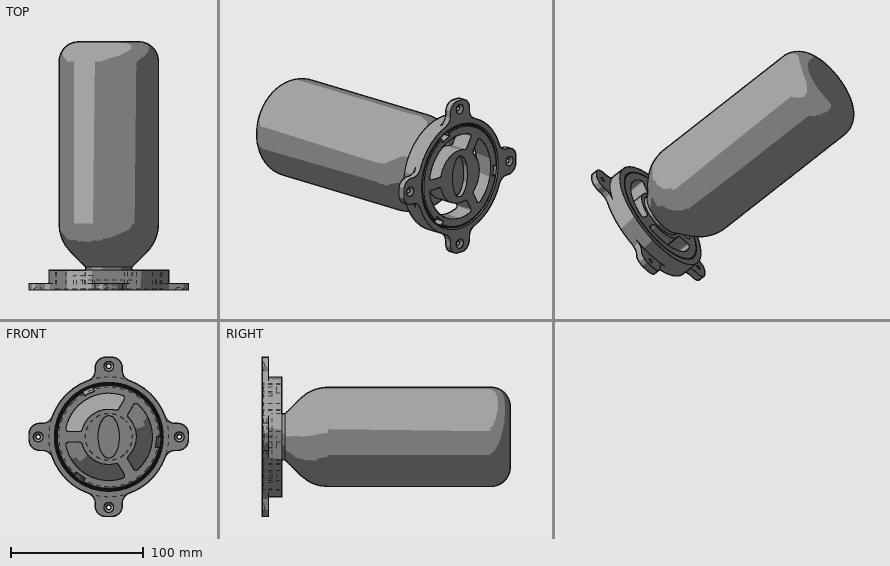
import cadquery as cq
import math

TOTAL_LENGTH = 187.0

RING_DIAMETER = 90.3
RING_BORE = 80.2
RING_DEPTH = 15.0
BORE_CHAMFER = 1.0
EAR_COUNT = 4
EAR_REACH = 60.0
EAR_WIDTH = 20.5
EAR_THICKNESS = 5.0
EAR_CORNER_RADIUS = 8.0
EAR_ROOT_RADIUS = 8.0
SCREW_CIRCLE_RADIUS = 53.1
SCREW_HOLE_DIAMETER = 3.4
COUNTERSINK_DIAMETER = 7.5
COUNTERSINK_ANGLE = 90.0

CAP_DIAMETER = 79.0
CAP_DEPTH = 15.0
CAP_CHAMFER = 0.7
HUB_RADIUS = 20.8
SLOT_OUTER_RADIUS = 33.0
SLOT_COUNT = 3
SPOKE_WIDTH = 8.0
FIRST_SPOKE_ANGLE = 60.0
SLOT_CORNER_RADIUS = 2.0
NOTCH_WIDTH = 8.2
FIRST_NOTCH_ANGLE = -6.0
NOTCH_FLOOR_RADIUS = 35.9
NOTCH_FLOOR_LENGTH = 7.5
RECESS_WIDTH = 16.0
RECESS_HEIGHT = 32.0
RECESS_DEPTH = 4.0
SOCKET_DIAMETER = 35.5
SOCKET_FLOOR = 7.5

BOTTLE_DIAMETER = 75.0
BOTTLE_BASE_RADIUS = 15.0
NECK_DIAMETER = 35.0
SHOULDER_START = 50.0
SHOULDER_RADIUS = 30.3
SHOULDER_CONE_ANGLE = 45.0

SLOT_PITCH = 360.0 / SLOT_COUNT
EAR_PITCH = 360.0 / EAR_COUNT


def front_plane(y=0.0):
    """Workplane at height y whose local x, y are X, Z; positive extrusion runs toward -Y."""
    return cq.Workplane("XZ", origin=(0, y, 0))


def turned(shape, angle):
    """Turn a shape about the Y axis, counterclockwise from X toward Z."""
    return shape.rotate((0, 0, 0), (0, 1, 0), -angle)


def disc(diameter, depth):
    return front_plane().circle(diameter / 2).extrude(-depth)


def revolved(profile):
    """Revolve a closed outline of (radius, Y) points about the Y axis."""
    return cq.Workplane("XY").polyline(profile).close().revolve(360, (0, 0, 0), (0, 1, 0))


def make_ear():
    """One rounded ear on +X, with concave fillets that run tangent into the ring."""
    ring_radius = RING_DIAMETER / 2
    half_width = EAR_WIDTH / 2
    root_z = half_width + EAR_ROOT_RADIUS
    root_x = math.sqrt((ring_radius + EAR_ROOT_RADIUS) ** 2 - root_z**2)
    tangent_share = ring_radius / (ring_radius + EAR_ROOT_RADIUS)
    base_x = root_x * tangent_share
    base_z = root_z * tangent_share
    bend = (math.atan2(root_z, root_x) + math.pi / 2) / 2
    mid_x = root_x - EAR_ROOT_RADIUS * math.sin(bend)
    mid_z = root_z - EAR_ROOT_RADIUS * math.cos(bend)
    inner_x = RING_BORE / 2

    ear = (
        front_plane()
        .moveTo(inner_x, -base_z)
        .lineTo(base_x, -base_z)
        .threePointArc((mid_x, -mid_z), (root_x, -half_width))
        .lineTo(EAR_REACH, -half_width)
        .lineTo(EAR_REACH, half_width)
        .lineTo(root_x, half_width)
        .threePointArc((mid_x, mid_z), (base_x, base_z))
        .lineTo(inner_x, base_z)
        .close()
        .extrude(-EAR_THICKNESS)
    )
    return ear.edges("|Y and >X").fillet(EAR_CORNER_RADIUS)


def make_screw_hole():
    """Countersunk through hole, on +X, opening at Y = 0."""
    hole_radius = SCREW_HOLE_DIAMETER / 2
    sink_radius = COUNTERSINK_DIAMETER / 2
    sink_depth = (sink_radius - hole_radius) / math.tan(math.radians(COUNTERSINK_ANGLE / 2))
    profile = [
        (0, 0),
        (sink_radius, 0),
        (hole_radius, sink_depth),
        (hole_radius, EAR_THICKNESS),
        (0, EAR_THICKNESS),
    ]
    return revolved(profile).translate((SCREW_CIRCLE_RADIUS, 0, 0))


def make_bore():
    """Through bore of the ring with a chamfered mouth at Y = 0."""
    bore_radius = RING_BORE / 2
    profile = [
        (0, 0),
        (bore_radius + BORE_CHAMFER, 0),
        (bore_radius, BORE_CHAMFER),
        (bore_radius, RING_DEPTH),
        (0, RING_DEPTH),
    ]
    return revolved(profile)


def make_mounting_ring():
    ring = disc(RING_DIAMETER, RING_DEPTH)
    ear = make_ear()
    hole = make_screw_hole()
    for i in range(EAR_COUNT):
        angle = i * EAR_PITCH
        ring = ring.union(turned(ear, angle)).cut(turned(hole, angle))
    return ring.cut(make_bore())


def make_cap_slots():
    """Ring-shaped openings between the hub and the rim, parted by the spokes."""
    slots = disc(2 * SLOT_OUTER_RADIUS, CAP_DEPTH).cut(disc(2 * HUB_RADIUS, CAP_DEPTH))
    spoke = front_plane().rect(CAP_DIAMETER / 2, SPOKE_WIDTH).extrude(-CAP_DEPTH)
    spoke = spoke.translate((CAP_DIAMETER / 4, 0, 0))
    for i in range(SLOT_COUNT):
        slots = slots.cut(turned(spoke, FIRST_SPOKE_ANGLE + i * SLOT_PITCH))
    return slots.edges("|Y").fillet(SLOT_CORNER_RADIUS)


def make_notch():
    """Rim notch on +X: a round floor that ends in a 45 degree ramp out to the rim."""
    rim_radius = CAP_DIAMETER / 2
    ramp_end = NOTCH_FLOOR_LENGTH + rim_radius - NOTCH_FLOOR_RADIUS
    profile = [
        (NOTCH_FLOOR_RADIUS, 0),
        (rim_radius, 0),
        (rim_radius, ramp_end),
        (NOTCH_FLOOR_RADIUS, NOTCH_FLOOR_LENGTH),
    ]
    slab = front_plane().rect(CAP_DIAMETER, NOTCH_WIDTH).extrude(-CAP_DEPTH)
    slab = slab.translate((CAP_DIAMETER / 2, 0, 0))
    return revolved(profile).intersect(slab)


def make_cap():
    cap = disc(CAP_DIAMETER, CAP_DEPTH).faces("<Y").chamfer(CAP_CHAMFER)
    cap = cap.cut(make_cap_slots())

    notch = make_notch()
    for i in range(SLOT_COUNT):
        cap = cap.cut(turned(notch, FIRST_NOTCH_ANGLE + i * SLOT_PITCH))

    recess = front_plane().ellipse(RECESS_WIDTH / 2, RECESS_HEIGHT / 2).extrude(-RECESS_DEPTH)
    socket = front_plane(SOCKET_FLOOR).circle(SOCKET_DIAMETER / 2).extrude(SOCKET_FLOOR - CAP_DEPTH)
    return cap.cut(recess).cut(socket)


def make_bottle():
    """Solid of revolution: neck, cone, rounded shoulder, straight wall and rounded base."""
    radius = BOTTLE_DIAMETER / 2
    neck_radius = NECK_DIAMETER / 2
    cone = math.radians(SHOULDER_CONE_ANGLE)
    arc_center_r = radius - SHOULDER_RADIUS
    arc_end = (
        arc_center_r + SHOULDER_RADIUS * math.cos(cone),
        SHOULDER_START - SHOULDER_RADIUS * math.sin(cone),
    )
    arc_mid = (
        arc_center_r + SHOULDER_RADIUS * math.cos(cone / 2),
        SHOULDER_START - SHOULDER_RADIUS * math.sin(cone / 2),
    )
    neck_top = arc_end[1] - (arc_end[0] - neck_radius) / math.tan(cone)
    bottle = (
        cq.Workplane("XY")
        .moveTo(0, SOCKET_FLOOR)
        .lineTo(neck_radius, SOCKET_FLOOR)
        .lineTo(neck_radius, neck_top)
        .lineTo(*arc_end)
        .threePointArc(arc_mid, (radius, SHOULDER_START))
        .lineTo(radius, TOTAL_LENGTH)
        .lineTo(0, TOTAL_LENGTH)
        .close()
        .revolve(360, (0, 0, 0), (0, 1, 0))
    )
    return bottle.faces(">Y").edges().fillet(BOTTLE_BASE_RADIUS)


mounting_ring = make_mounting_ring()
cap = make_cap()
bottle = make_bottle()
result = cq.Compound.makeCompound([mounting_ring.val(), cap.val(), bottle.val()])